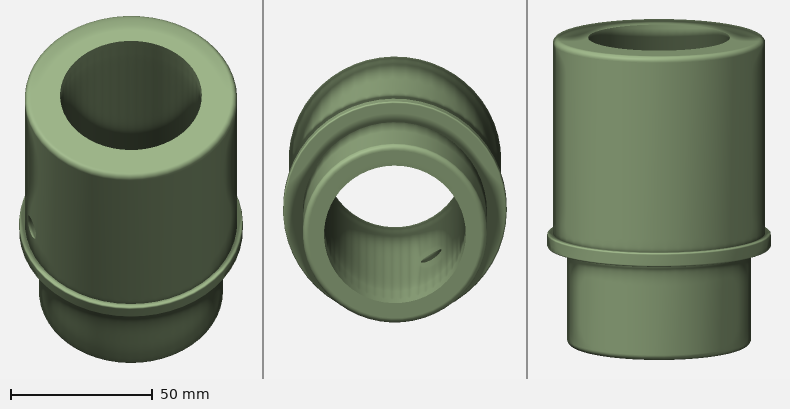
import cadquery as cq

total_height = 110.0
spigot_height = 35.0
flange_thickness = 5.0

body_diameter = 75.0
flange_diameter = 79.0
spigot_diameter = 65.0
bore_diameter = 50.0

end_fillet = 2.0
flange_fillet = 0.5

side_hole_diameter = 8.5
side_hole_height = 53.0

flange_top = spigot_height + flange_thickness


def cylinder(diameter, bottom, top):
    """Vertical cylinder on the Z axis between two heights."""
    return cq.Workplane("XY").workplane(offset=bottom).circle(diameter / 2).extrude(top - bottom)


def side_hole():
    """Radial cutter running from the axis out through the -Y wall."""
    return (
        cq.Workplane("XZ")
        .center(0, side_hole_height)
        .circle(side_hole_diameter / 2)
        .extrude(flange_diameter / 2)
    )


spigot = cylinder(spigot_diameter, 0, spigot_height).edges().fillet(end_fillet)
flange = cylinder(flange_diameter, spigot_height, flange_top).edges().fillet(flange_fillet)
body = cylinder(body_diameter, flange_top, total_height).faces(">Z").edges().fillet(end_fillet)
bore = cylinder(bore_diameter, 0, total_height)

result = spigot.union(flange).union(body).cut(bore).cut(side_hole())